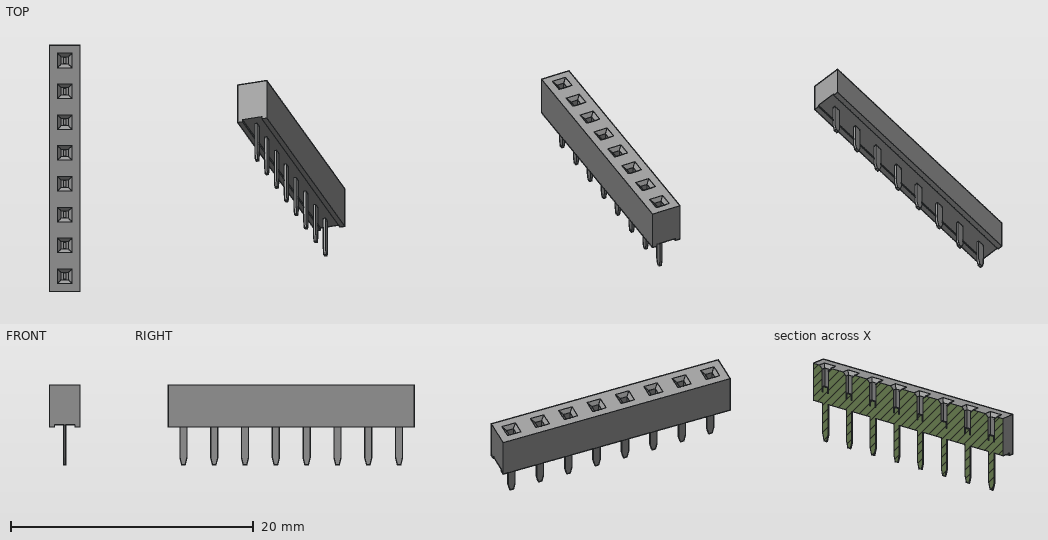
import cadquery as cq

contact_count = 8
pitch = 2.54

body_width = pitch
body_length = contact_count * pitch
body_height = 3.5

foot_width = 0.43
channel_width = body_width - 2 * foot_width
channel_depth = 0.2

lead_in_width = 1.2
well_width = 0.6
lead_in_depth = (lead_in_width - well_width) / 2
well_depth = 2.0

total_height = 6.6
pin_thickness = 0.2
pin_width = 0.6
pin_tip_width = 0.3
pin_tip_length = 0.6
pin_bottom = body_height - total_height

blade_width = 0.5
blade_height = 0.5
well_floor = body_height - lead_in_depth - well_depth

contact_positions = [(i - (contact_count - 1) / 2) * pitch for i in range(contact_count)]


def make_body():
    body = cq.Workplane("XY").box(body_width, body_length, body_height, centered=(True, True, False))
    channel = cq.Workplane("XY").box(channel_width, body_length, channel_depth, centered=(True, True, False))
    return body.cut(channel)


def make_socket(y):
    lead_in = (
        cq.Workplane("XY", origin=(0, y, body_height))
        .rect(lead_in_width, lead_in_width)
        .workplane(offset=-lead_in_depth)
        .rect(well_width, well_width)
        .loft(ruled=True)
    )
    well = (
        cq.Workplane("XY", origin=(0, y, well_floor))
        .rect(well_width, well_width)
        .extrude(well_depth)
    )
    return lead_in.union(well)


def make_pin(y):
    half_width = pin_width / 2
    half_tip = pin_tip_width / 2
    half_blade = blade_width / 2
    taper_start = pin_bottom + pin_tip_length
    blade_top = well_floor + blade_height
    outline = [
        (-half_tip, pin_bottom),
        (half_tip, pin_bottom),
        (half_width, taper_start),
        (half_width, well_floor),
        (half_blade, well_floor),
        (half_blade, blade_top),
        (-half_blade, blade_top),
        (-half_blade, well_floor),
        (-half_width, well_floor),
        (-half_width, taper_start),
    ]
    return (
        cq.Workplane("YZ", origin=(0, y, 0))
        .polyline(outline)
        .close()
        .extrude(pin_thickness / 2, both=True)
    )


result = make_body()
for contact_y in contact_positions:
    result = result.cut(make_socket(contact_y)).union(make_pin(contact_y))